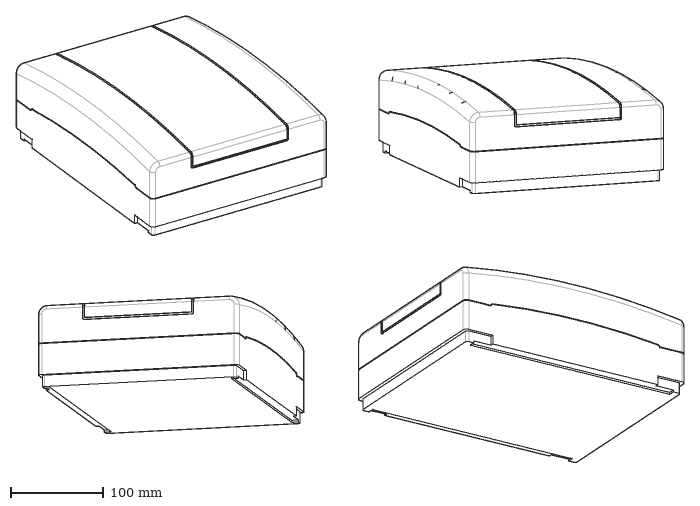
import cadquery as cq

LENGTH = 280.0
WIDTH = 225.0
HEIGHT = 100.2

CROWN_RISE = 11.5
TOP_ROUND = 10.0
CORNER_ROUND = 4.8

PARTING_Z = 46.8
PARTING_GAP = 0.8
ARCH_HALF_LENGTH = 107.5
ARCH_RAMP = 2.2
ARCH_STEP = 2.2
ARCH_RISE = 8.5

FOOT_HEIGHT = 12.5
FOOT_INSET_X = 4.2
FOOT_INSET_Y = 3.5
FOOT_ROUND = 2.8
APRON_LENGTH = 209.5
NOTCH_LENGTH = 253.0
NOTCH_HEIGHT = 2.2
NOTCH_DEPTH = 11.2

PANEL_WIDTH = 120.0
PANEL_BOTTOM_Z = 73.5
GROOVE_WIDTH = 2.2
GROOVE_DEPTH = 2.0


def block(length, width, height):
    """Box centred in X and Y that stands on Z = 0."""
    return cq.Workplane("XY").box(length, width, height, centered=(True, True, False))


def crowned_block(inset):
    """Block with a crowned top; its ends and top lie inside those of the enclosure by the inset."""
    half_length = LENGTH / 2 - inset
    top = HEIGHT - inset
    shoulder = top - CROWN_RISE
    return (
        cq.Workplane("XZ")
        .moveTo(-half_length, 0)
        .lineTo(half_length, 0)
        .lineTo(half_length, shoulder)
        .threePointArc((0, top), (-half_length, shoulder))
        .close()
        .extrude(WIDTH / 2, both=True)
    )


def make_enclosure():
    """Whole enclosure with its rounded edges, before it is split into bodies."""
    rounded_top = crowned_block(0).faces(">Z").edges("<Y or >Y").fillet(TOP_ROUND)
    return rounded_top.faces("<X or >X").edges("not <Z").fillet(CORNER_ROUND)


def make_core():
    """Inner form that leaves a skin as thick as the groove is deep over the top and both ends."""
    return (
        crowned_block(GROOVE_DEPTH)
        .faces(">Z").edges("<X or >X")
        .fillet(CORNER_ROUND - GROOVE_DEPTH)
    )


def below_parting(lift):
    """Everything below the parting surface, which is raised by the lift."""
    level = PARTING_Z + lift
    half_length = LENGTH / 2
    arch_end = ARCH_HALF_LENGTH - ARCH_RAMP
    return (
        cq.Workplane("XZ")
        .moveTo(-half_length, 0)
        .lineTo(half_length, 0)
        .lineTo(half_length, level)
        .lineTo(ARCH_HALF_LENGTH, level)
        .lineTo(arch_end, level + ARCH_STEP)
        .threePointArc((0, level + ARCH_RISE), (-arch_end, level + ARCH_STEP))
        .lineTo(-ARCH_HALF_LENGTH, level)
        .lineTo(-half_length, level)
        .close()
        .extrude(WIDTH / 2, both=True)
    )


def panel_band(margin):
    """Band over the enclosure, as wide as the panel plus the margin on each side and below."""
    width = PANEL_WIDTH + 2 * margin
    bottom = PANEL_BOTTOM_Z - margin
    band = block(LENGTH, width, HEIGHT - bottom).translate((0, 0, bottom))
    if margin > 0:
        band = band.faces("<Z").edges("|X").fillet(margin)
    return band


def make_base(enclosure):
    """Lower half, standing on its inset foot."""
    foot = (
        block(LENGTH - 2 * FOOT_INSET_X, WIDTH - 2 * FOOT_INSET_Y, FOOT_HEIGHT)
        .edges("|Z").fillet(FOOT_ROUND)
    )
    apron = block(APRON_LENGTH, WIDTH, FOOT_HEIGHT)
    walls = enclosure.intersect(below_parting(0)).cut(block(LENGTH, WIDTH, FOOT_HEIGHT))
    base = walls.union(foot).union(apron)
    notch = block(NOTCH_LENGTH, NOTCH_DEPTH, NOTCH_HEIGHT)
    for side in (-1, 1):
        base = base.cut(notch.translate((0, side * (WIDTH - NOTCH_DEPTH) / 2, 0)))
    return base


def make_cover(enclosure, core):
    """Upper half, with a shallow recess that takes the panel and leaves the groove around it."""
    recess = panel_band(GROOVE_WIDTH).cut(core)
    return enclosure.cut(below_parting(PARTING_GAP)).cut(recess)


def make_panel(enclosure, core):
    """Thin panel flush with the enclosure, lying on the floor of the recess."""
    return enclosure.intersect(panel_band(0)).cut(core)


enclosure = make_enclosure()
core = make_core()

base = make_base(enclosure)
cover = make_cover(enclosure, core)
panel = make_panel(enclosure, core)

result = cq.Compound.makeCompound([base.val(), cover.val(), panel.val()])